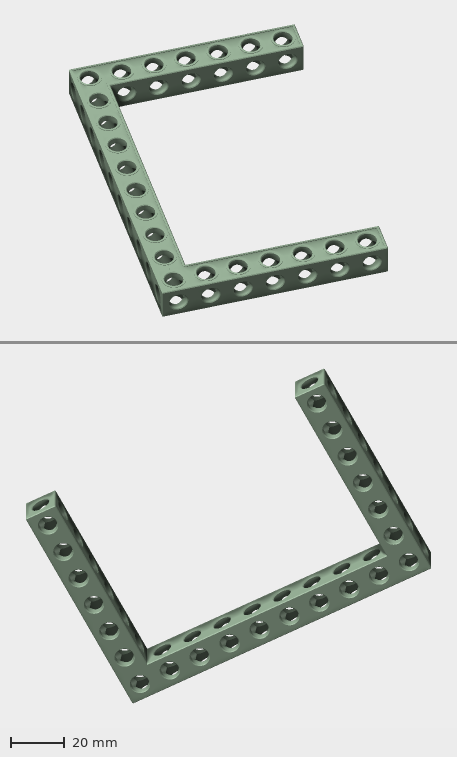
import cadquery as cq

PITCH = 12.5
BASE_HOLES = 10
ARM_HOLES = 7

HOLE_DIAMETER = 7.0
HOLE_CHAMFER = 0.3
EDGE_CHAMFER = 0.3

RECESS_DEPTH = 0.2
RIM_WIDTH = 1.1
RIB_WIDTH = 0.1

length = BASE_HOLES * PITCH
width = ARM_HOLES * PITCH
half_length = length / 2
half_width = width / 2
half_pitch = PITCH / 2
recess_floor = half_pitch - RECESS_DEPTH
collar_radius = HOLE_DIAMETER / 2 + RIM_WIDTH

base_x = [(i + 0.5) * PITCH - half_length for i in range(BASE_HOLES)]
arm_y = [(i + 0.5) * PITCH - half_width for i in range(ARM_HOLES)]
arm_x = (base_x[0], base_x[-1])
base_y = arm_y[0]
vertical_holes = [(x, base_y) for x in base_x]
vertical_holes += [(x, y) for x in arm_x for y in arm_y[1:]]


def u_plate(inset, bottom, top):
    """U-shaped plate whose outline lies inset inside the frame outline."""
    outer_x = half_length - inset
    inner_x = half_length - PITCH + inset
    front_y = -half_width + inset
    inner_y = -half_width + PITCH - inset
    end_y = half_width - inset
    outline = [
        (-outer_x, front_y),
        (outer_x, front_y),
        (outer_x, end_y),
        (inner_x, end_y),
        (inner_x, inner_y),
        (-inner_x, inner_y),
        (-inner_x, end_y),
        (-outer_x, end_y),
    ]
    return cq.Workplane("XY").workplane(offset=bottom).polyline(outline).close().extrude(top - bottom)


def chamfered_frame():
    """U frame with every edge broken except the two upright inside corners."""
    frame = u_plate(0, -half_pitch, half_pitch)
    inner_x = half_length - PITCH
    inner_y = -half_width + PITCH
    inside_corners = cq.selectors.BoxSelector(
        (-inner_x - EDGE_CHAMFER, inner_y - EDGE_CHAMFER, -EDGE_CHAMFER),
        (inner_x + EDGE_CHAMFER, inner_y + EDGE_CHAMFER, EDGE_CHAMFER),
    )
    whole_frame = cq.selectors.BoxSelector((-length, -width, -PITCH), (length, width, PITCH))
    convex_edges = cq.selectors.SubtractSelector(whole_frame, inside_corners)
    return frame.edges(convex_edges).chamfer(EDGE_CHAMFER)


def top_recess():
    """Material removed from the top face, sparing the rim, the collars and the rib."""
    recess = u_plate(RIM_WIDTH, recess_floor, half_pitch)
    floor_plane = cq.Workplane("XY").workplane(offset=recess_floor)
    collars = floor_plane.pushPoints(vertical_holes).circle(collar_radius).extrude(RECESS_DEPTH)
    rib_x = (base_x[-2] + base_x[-1]) / 2
    rib = floor_plane.center(rib_x, base_y).rect(PITCH, RIB_WIDTH).extrude(RECESS_DEPTH)
    return recess.cut(collars).cut(rib)


def through_hole(start, end):
    """Cutter for a hole between two opposite faces, widened at both mouths."""
    start = cq.Vector(*start)
    end = cq.Vector(*end)
    depth = (end - start).Length
    axis = (end - start).normalized()
    radius = HOLE_DIAMETER / 2
    mouth_radius = radius + HOLE_CHAMFER
    bore = cq.Solid.makeCylinder(radius, depth, start, axis)
    start_mouth = cq.Solid.makeCone(mouth_radius, radius, HOLE_CHAMFER, start, axis)
    end_mouth = cq.Solid.makeCone(mouth_radius, radius, HOLE_CHAMFER, end, axis * -1)
    return bore.fuse(start_mouth, end_mouth)


holes = [through_hole((x, y, -half_pitch), (x, y, half_pitch)) for x, y in vertical_holes]

for x in base_x:
    far_y = half_width if x in arm_x else -half_width + PITCH
    holes.append(through_hole((x, -half_width, 0), (x, far_y, 0)))

holes.append(through_hole((-half_length, base_y, 0), (half_length, base_y, 0)))
for x in arm_x:
    for y in arm_y[1:]:
        holes.append(through_hole((x - half_pitch, y, 0), (x + half_pitch, y, 0)))

result = chamfered_frame().cut(top_recess())
for hole in holes:
    result = result.cut(cq.Workplane(hole))